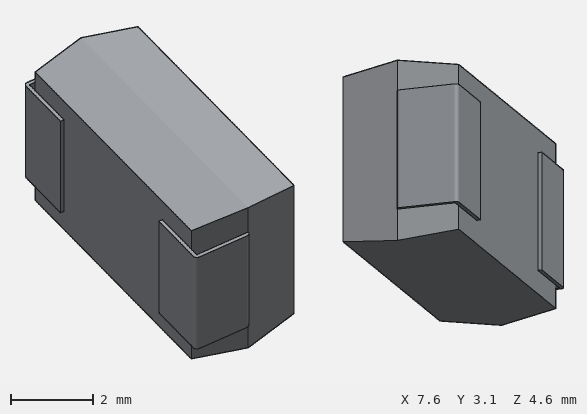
import cadquery as cq

length = 7.6
depth = 3.1
height = 4.6

body_length = 7.395
strap_thickness = (length - body_length) / 2
strap_width = 3.0
foot_length = 1.63
bend_radius = strap_thickness

half_depth = (depth - strap_thickness) / 2
end_inset = 0.24
side_inset = 0.2

foot_inner_y = -half_depth
foot_outer_y = foot_inner_y - strap_thickness


def body_half(direction):
    """Tapered half of the body, from the parting line towards +Y (1) or -Y (-1)."""
    return (
        cq.Workplane("XZ")
        .rect(body_length, height)
        .workplane(offset=-direction * half_depth)
        .rect(body_length - 2 * end_inset, height - 2 * side_inset)
        .loft(ruled=True)
    )


def left_terminal():
    """L-shaped strap: upright beside the body end, foot under the -Y face."""
    outer_x = -length / 2
    inner_x = outer_x + strap_thickness
    foot_end_x = outer_x + foot_length
    profile = (
        cq.Workplane("XY")
        .moveTo(inner_x, 0)
        .radiusArc((outer_x, -bend_radius), -bend_radius)
        .lineTo(outer_x, foot_outer_y + bend_radius)
        .radiusArc((outer_x + bend_radius, foot_outer_y), -bend_radius)
        .lineTo(foot_end_x, foot_outer_y)
        .lineTo(foot_end_x, foot_inner_y)
        .lineTo(inner_x, foot_inner_y)
        .close()
    )
    return profile.extrude(strap_width / 2, both=True)


body = body_half(1).union(body_half(-1))
terminal = left_terminal()
result = body.union(terminal).union(terminal.mirror("YZ"))